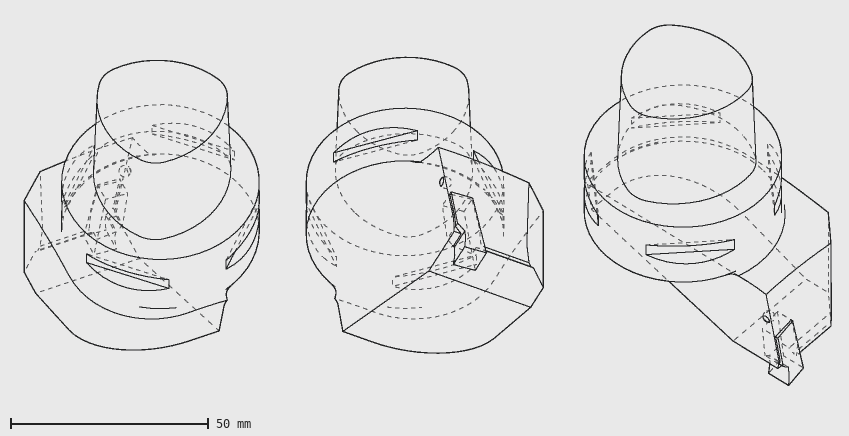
import cadquery as cq
import math


shank_length = 30.0
lobe_tip_radius = 18.6
lobe_end_radius = 18.3
side_middle_radius = 16.4
lobe_half_angle = 10
lobe_angles = (90, 210, 330)
top_inset = 0.9

flange_radius = 50.0 / 2
flange_height = 20.0
groove_floor_distance = 22.3
groove_floor_height = 3.5
groove_middle_z = -10.1
groove_flank_angle = 30
groove_angles = (45, 135, 225, 315)

head_right = 26.0
head_front = -26.5
head_corner_radius = 23.05
head_bottom = -53.4
corner_cut_x = -25.75
corner_cut_angle = 46
shoulder_x = -33.0
shoulder_z = -23.2
lip_top_x = -34.0
lip_top_z = -49.7
lip_outer_x = -33.0
lip_inner_x = -32.0
lip_bottom = -54.8
lip_end_x = -30.7
lip_back_y = -2.7
slope_start_x = -18.4
slope_end_z = -32.9
back_top_y = 6.8
back_angle = 8.1
back_fillet = 4.05
neck_fillet = 1.2
cone_angle = 15.6
outer_reach = 54.0

insert_middle_x = -31.7
insert_edge_width = 6.7
insert_side_angle = 2.2
insert_yaw = 3.4
insert_profile = [
    (3.5, -40.3),
    (-2.7, -39.3),
    (-6.3, -58.9),
    (0.0, -60.1),
    (-0.4, -56.5),
    (-0.2, -53.7),
    (1.9, -51.8),
]

nozzle_diameter = 3.0
nozzle_z = -34.1
nozzle_rise = 0.45


def polar(radius, angle):
    return radius * math.cos(math.radians(angle)), radius * math.sin(math.radians(angle))


def slope(angle):
    return math.tan(math.radians(angle))


def lobed_outline(plane, inset):
    """Three small lobe arcs joined by three large side arcs."""
    end_radius = lobe_end_radius - inset
    outline = plane.moveTo(*polar(end_radius, lobe_angles[0] - lobe_half_angle))
    for angle in lobe_angles:
        outline = outline.threePointArc(
            polar(lobe_tip_radius - inset, angle),
            polar(end_radius, angle + lobe_half_angle),
        ).threePointArc(
            polar(side_middle_radius - inset, angle + 60),
            polar(end_radius, angle + 120 - lobe_half_angle),
        )
    return outline.close()


def make_shank():
    base = lobed_outline(cq.Workplane("XY"), 0)
    return lobed_outline(base.workplane(offset=shank_length), top_inset).loft(ruled=True)


def make_groove(angle):
    """Straight groove with a flat floor and sloping flanks, cut across the flange."""
    depth = outer_reach - groove_floor_distance
    half_floor = groove_floor_height / 2
    half_mouth = half_floor + depth * slope(groove_flank_angle)
    return (
        cq.Workplane("XZ")
        .polyline([
            (groove_floor_distance, groove_middle_z - half_floor),
            (outer_reach, groove_middle_z - half_mouth),
            (outer_reach, groove_middle_z + half_mouth),
            (groove_floor_distance, groove_middle_z + half_floor),
        ])
        .close()
        .extrude(outer_reach, both=True)
        .rotate((0, 0, 0), (0, 0, 1), angle)
    )


def make_flange():
    flange = cq.Workplane("XY").circle(flange_radius).extrude(-flange_height)
    for angle in groove_angles:
        flange = flange.cut(make_groove(angle))
    return flange


def head_plan():
    """Plan outline, with a round front right corner and a cut front left corner."""
    cut_top_y = head_front + (corner_cut_x + outer_reach) * slope(corner_cut_angle)
    return (
        cq.Workplane("XY")
        .moveTo(corner_cut_x, head_front)
        .lineTo(head_right - head_corner_radius, head_front)
        .radiusArc((head_right, head_front + head_corner_radius), -head_corner_radius)
        .lineTo(head_right, outer_reach)
        .lineTo(-outer_reach, outer_reach)
        .lineTo(-outer_reach, cut_top_y)
        .close()
        .extrude(lip_bottom)
    )


def head_side_profile():
    """Leaning left face with a bevelled lip, and the sloping underside."""
    lean = (shoulder_x - lip_top_x) / (shoulder_z - lip_top_z)
    return (
        cq.Workplane("XZ")
        .polyline([
            (lip_top_x, lip_top_z),
            (lip_outer_x, lip_bottom),
            (lip_inner_x, lip_bottom),
            (lip_end_x, head_bottom),
            (slope_start_x, head_bottom),
            (head_right, slope_end_z),
            (head_right, -flange_height),
            (shoulder_x + lean * (-flange_height - shoulder_z), -flange_height),
        ])
        .close()
        .extrude(outer_reach, both=True)
    )


def head_back_profile():
    """Leaning back face that meets the flange in a fillet."""
    bottom_y = back_top_y + (lip_bottom + flange_height) * slope(back_angle)
    tangent = back_fillet * slope((90 - back_angle) / 2)
    fillet_end = (
        back_top_y - tangent * math.sin(math.radians(back_angle)),
        -flange_height - tangent * math.cos(math.radians(back_angle)),
    )
    return (
        cq.Workplane("YZ")
        .moveTo(-outer_reach, -flange_height)
        .lineTo(back_top_y + tangent, -flange_height)
        .radiusArc(fillet_end, -back_fillet)
        .lineTo(bottom_y, lip_bottom)
        .lineTo(-outer_reach, lip_bottom)
        .close()
        .extrude(outer_reach, both=True)
    )


def head_shoulder():
    """Cone that slopes down from the flange, with a fillet round its neck."""
    fillet_radius_end = flange_radius + neck_fillet * (1 - math.sin(math.radians(cone_angle)))
    fillet_z_end = -flange_height - neck_fillet * math.cos(math.radians(cone_angle))
    cone_edge_z = fillet_z_end - (outer_reach - fillet_radius_end) * slope(cone_angle)
    return (
        cq.Workplane("XZ")
        .moveTo(0, -flange_height)
        .lineTo(flange_radius, -flange_height)
        .radiusArc((fillet_radius_end, fillet_z_end), -neck_fillet)
        .lineTo(outer_reach, cone_edge_z)
        .lineTo(outer_reach, lip_bottom)
        .lineTo(0, lip_bottom)
        .close()
        .revolve(360, (0, 0, 0), (0, 1, 0))
    )


def lip_relief():
    """Block that ends the lip at the insert, flush with the head bottom."""
    return (
        cq.Workplane("XY")
        .box(outer_reach, outer_reach, outer_reach, centered=(True, False, False))
        .translate((lip_end_x, lip_back_y, head_bottom - outer_reach))
    )


def make_head():
    head = head_plan().intersect(head_side_profile())
    head = head.intersect(head_back_profile()).intersect(head_shoulder())
    return head.cut(lip_relief())


def make_insert():
    """Insert widening down to its cutting edge and turned slightly about Z."""
    edge_z = min(z for _, z in insert_profile)
    top_z = max(z for _, z in insert_profile)
    half_edge = insert_edge_width / 2
    half_top = half_edge - (top_z - edge_z) * slope(insert_side_angle)
    tapered_block = (
        cq.Workplane("XZ")
        .polyline([
            (-half_edge, edge_z),
            (half_edge, edge_z),
            (half_top, top_z),
            (-half_top, top_z),
        ])
        .close()
        .extrude(outer_reach, both=True)
        .rotate((0, 0, 0), (0, 0, 1), insert_yaw)
        .translate((insert_middle_x, 0, 0))
    )
    side = cq.Workplane("YZ").polyline(insert_profile).close().extrude(outer_reach, both=True)
    return side.intersect(tapered_block)


def make_nozzle():
    """Coolant nozzle ball, seated in the back face with a small cap standing proud."""
    face_y = back_top_y + (nozzle_z + flange_height) * slope(back_angle)
    depth = (nozzle_diameter / 2 - nozzle_rise) / math.cos(math.radians(back_angle))
    return (
        cq.Workplane("XY")
        .sphere(nozzle_diameter / 2)
        .translate((insert_middle_x, face_y - depth, nozzle_z))
    )


insert = make_insert()
nozzle = make_nozzle()
holder = make_flange().union(make_shank()).union(make_head()).cut(insert).cut(nozzle)

result = cq.Compound.makeCompound([holder.val(), insert.val(), nozzle.val()])